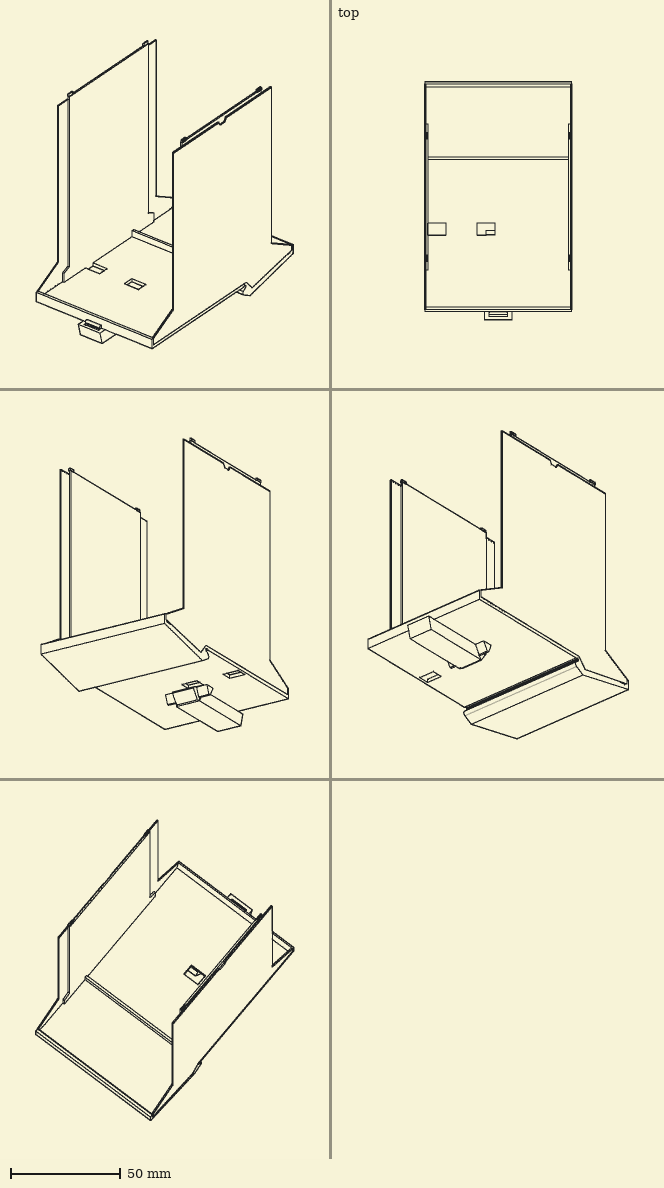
import cadquery as cq

overall_width = 67.5
skin_thickness = 0.1
plate_thickness = 0.5
panel_thickness = 0.9
base_half_width = overall_width / 2 - skin_thickness
plate_inner_x = base_half_width - plate_thickness
panel_inner_x = plate_inner_x - panel_thickness

floor_thickness = 1.7
base_front_y = -50.8
base_back_y = 54.6
lip_edge_z = 5.0
lip_top_z = 5.5
front_bevel = 0.9
front_lip_thickness = 2.2
back_bevel = 1.2
back_lip_thickness = 2.5
foot_back_z = 0.2
foot_corner = (22.3, -6.9)

hook_tip_bottom = (17.8, -4.4)
hook_tip_middle = (17.0, -3.4)
hook_tip_top = (17.3, -2.2)
undercut_bottom = (19.1, -0.8)
undercut_middle = (19.0, 0.3)
undercut_top = (18.1, 0.3)
undercut_front = (17.4, 0)

rib_back_y = 20.1
rib_thickness = 1.2
rib_top_z = 5.0

window_length_x = 8.2
window_length_y = 5.6
window_center_y = -13.0
window_left_edges = (-panel_inner_x, -9.7)

plate_front_y = base_front_y + front_bevel
plate_back_y = base_back_y - back_bevel
plate_top_z = 97.8
skin_drop = 0.3
tower_front_y = -34.9
tower_back_y = 38.3
shoulder_z = 13.8
notch_center_y = 1.7
notch_top_width = 5.6
notch_bottom_width = 3.3
notch_bottom_z = 95.7
foot_inset_back = (plate_back_y, 2.6)
foot_inset_low = (23.8, -3.3)
foot_inset_front = (19.5, floor_thickness)

panel_center_y = 1.7
panel_half_width = 29.6
panel_foot_half_width = 33.6
panel_flare_bottom_z = 6.6
panel_flare_top_z = 8.3
panel_top_z = 99.6
tab_width = 3.1
tab_top_z = 100.9
tab_tip_top_z = 100.5
tab_thickness = 0.5
tab_overhang = 0.3

latch_half_width = 6.3
latch_front_y = -54.6
latch_bottom_z = -6.5
latch_front_slant = 1.6
latch_bottom_back_y = -17.8
latch_slope_top_y = -21.6
wing_half_width = 11.3
wing_back_y = -16.3
wing_low_back_y = -18.0
wing_low_front_y = -19.0
wing_low_z = -4.3
nose_half_width = 5.7
nose_top_y = -15.4
nose_tip_y = -13.5
nose_tip_top_z = -0.9
nose_tip_bottom_z = -1.4
nose_heel_y = -16.9
nose_heel_z = -6.1
ridge_half_width = 4.2
ridge_thickness = 1.3
ridge_height = 1.6
slot_width = 0.9
slot_depth = 1.6


def side_prism(points, half_width):
    """Extrude a closed (Y, Z) outline symmetrically about X = 0."""
    return cq.Workplane("YZ").polyline(points).close().extrude(half_width, both=True)


def side_sheet(points, inner_x, thickness):
    """Extrude a closed (Y, Z) outline from inner_x towards +X."""
    return cq.Workplane("YZ", origin=(inner_x, 0, 0)).polyline(points).close().extrude(thickness)


def make_base():
    """Floor with its front and back lips, solid rail foot, cross rib and windows."""
    base = (
        cq.Workplane("YZ")
        .moveTo(base_front_y, 0)
        .lineTo(base_front_y, lip_edge_z)
        .lineTo(plate_front_y, lip_top_z)
        .lineTo(base_front_y + front_lip_thickness, floor_thickness)
        .lineTo(base_back_y - back_lip_thickness, floor_thickness)
        .lineTo(plate_back_y, lip_top_z)
        .lineTo(base_back_y, lip_edge_z)
        .lineTo(base_back_y, foot_back_z)
        .lineTo(*foot_corner)
        .lineTo(*hook_tip_bottom)
        .threePointArc(hook_tip_middle, hook_tip_top)
        .lineTo(*undercut_bottom)
        .threePointArc(undercut_middle, undercut_top)
        .lineTo(*undercut_front)
        .close()
        .extrude(base_half_width, both=True)
    )
    rib = cq.Workplane("XY").box(
        2 * base_half_width, rib_thickness, rib_top_z, centered=(True, False, False)
    ).translate((0, rib_back_y - rib_thickness, 0))
    base = base.union(rib)
    for left_x in window_left_edges:
        window = cq.Workplane("XY").box(
            window_length_x, window_length_y, floor_thickness, centered=(False, True, False)
        )
        base = base.cut(window.translate((left_x, window_center_y, 0)))
    return base


def plate_layer(drop, inner_x, thickness):
    """One layer of the +X side plate, its upper edges lowered by drop, notched at the top."""
    lip_z = lip_top_z - drop
    flank_z = shoulder_z - drop
    top_z = plate_top_z - drop
    outline = [
        (plate_front_y, floor_thickness),
        (plate_front_y, lip_z),
        (tower_front_y, flank_z),
        (tower_front_y, top_z),
        (notch_center_y - notch_top_width / 2, top_z),
        (notch_center_y - notch_bottom_width / 2, notch_bottom_z),
        (notch_center_y + notch_bottom_width / 2, notch_bottom_z),
        (notch_center_y + notch_top_width / 2, top_z),
        (tower_back_y, top_z),
        (tower_back_y, flank_z),
        (plate_back_y, lip_z),
        foot_inset_back,
        foot_inset_low,
        foot_inset_front,
    ]
    return side_sheet(outline, inner_x, thickness)


def make_plate():
    """Side plate on the +X side with its slightly lower outer skin."""
    plate = plate_layer(0, plate_inner_x, plate_thickness)
    return plate.union(plate_layer(skin_drop, base_half_width, skin_thickness))


def make_panel():
    """Inner panel on the +X side, flared at its foot, with two snap tabs on top."""
    half_outline = [
        (panel_foot_half_width, floor_thickness),
        (panel_foot_half_width, panel_flare_bottom_z),
        (panel_half_width, panel_flare_top_z),
        (panel_half_width, panel_top_z),
    ]
    outline = [(panel_center_y + y, z) for y, z in half_outline]
    outline += [(panel_center_y - y, z) for y, z in reversed(half_outline)]
    panel = side_sheet(outline, panel_inner_x, panel_thickness)

    tab_profile = [
        (plate_inner_x - tab_thickness, panel_top_z),
        (plate_inner_x - tab_thickness, tab_top_z),
        (plate_inner_x, tab_top_z),
        (plate_inner_x + tab_overhang, tab_tip_top_z),
        (plate_inner_x + tab_overhang, panel_top_z),
    ]
    for side in (-1, 1):
        tab = cq.Workplane("XZ").polyline(tab_profile).close().extrude(tab_width / 2, both=True)
        tab_y = panel_center_y + side * (panel_half_width - tab_width / 2)
        panel = panel.union(tab.translate((0, tab_y, 0)))
    return panel


def make_housing():
    """Base with a side plate and inner panel on each side."""
    side = make_plate().union(make_panel())
    return make_base().union(side).union(side.mirror("YZ"))


def make_latch():
    """Sliding latch under the floor: body, side wings, nose, and a rounded ridge with a slot before it."""
    body = side_prism(
        [
            (latch_front_y, 0),
            (latch_slope_top_y, 0),
            (latch_bottom_back_y, latch_bottom_z),
            (latch_front_y + latch_front_slant, latch_bottom_z),
        ],
        latch_half_width,
    )
    wings = side_prism(
        [
            (latch_slope_top_y, 0),
            (wing_back_y, 0),
            (wing_low_back_y, wing_low_z),
            (wing_low_front_y, wing_low_z),
        ],
        wing_half_width,
    )
    nose = side_prism(
        [
            (latch_slope_top_y, 0),
            (nose_top_y, 0),
            (nose_tip_y, nose_tip_top_z),
            (nose_tip_y, nose_tip_bottom_z),
            (nose_heel_y, nose_heel_z),
            (latch_bottom_back_y, latch_bottom_z),
        ],
        nose_half_width,
    )
    ridge_front_y = base_front_y - ridge_thickness
    ridge_round = ridge_height / 2
    ridge = (
        cq.Workplane("YZ")
        .moveTo(base_front_y, 0)
        .lineTo(base_front_y, ridge_height)
        .lineTo(ridge_front_y + ridge_round, ridge_height)
        .threePointArc((ridge_front_y, ridge_round), (ridge_front_y + ridge_round, 0))
        .close()
        .extrude(ridge_half_width, both=True)
    )
    slot = (
        cq.Workplane("XY")
        .box(2 * ridge_half_width, slot_width, slot_depth, centered=(True, False, False))
        .translate((0, ridge_front_y - slot_width, -slot_depth))
    )
    return body.union(wings).union(nose).union(ridge).cut(slot)


housing = make_housing()
latch = make_latch()
result = cq.Compound.makeCompound([housing.val(), latch.val()])